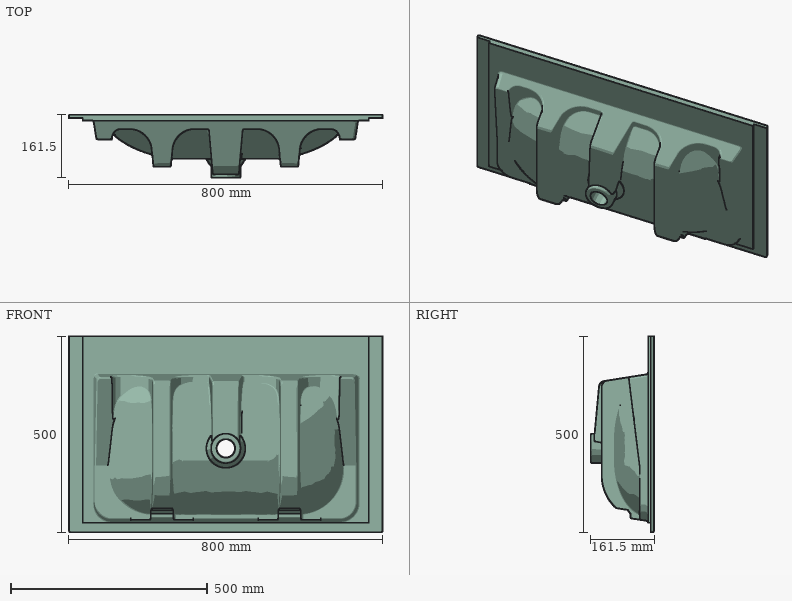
import cadquery as cq
import math


deck_length = 800.0
deck_width = 500.0
deck_thickness = 15.0
lip_thickness = 9.0
lip_side = 35.0
lip_front = 24.0
deck_corner_radius = 5.0
rim_radius = 4.0

skirt_half_length = 337.5
skirt_back = 153.5
skirt_front = -221.5
skirt_front_corner_radius = 48.0
skirt_back_corner_radius = 12.0
skirt_draft = math.radians(9.0)
joint_radius = 5.0
floor_depth = 37.0
edge_radius = 5.0

rail_inner_x = 290.0
rail_depth = 65.5
rail_front = -80.0
rail_round_end = 120.0

leg_x = 162.0
leg_half_width = 22.0
leg_depth = 133.5
bend_start = -105.0
bend_radius = 113.5
toe_depth = 97.0
heel_depth = 67.0
foot_depth = 60.0
foot_back = -203.0
back_end_radius = 17.5

channel_half_width = 33.0
channel_back_depth = 137.5
channel_front_depth = 155.0

support_draft = math.radians(5.0)
rail_side_radius = 23.0
leg_side_radius = 57.5
foot_side_radius = 5.5
channel_side_radius = 5.5

bowl_depth = 114.0
bowl_wall = 12.0
bowl_straight_half = 108.0
bowl_end_reach = 207.0
bowl_end_power = 1.8
bowl_half_width = 173.5
bowl_side_power = 2.2
bowl_corner_radius = 120.0
bowl_root_radius = 4.0
bowl_levels = (0, 0.2, 0.4, 0.6, 0.76, 0.88, 0.96, 0.99)

drain_z = -36.0
drain_depth = 161.5
drain_radius = 37.5
drain_bore_diameter = 46.0
drain_edge_radius = 4.0
cone_radius = 49.5
cone_depth = 132.0

back_edge = deck_width / 2
front_edge = -deck_width / 2
leg_edge_x = leg_x + leg_half_width
select_gap = 1.0


def box_select(half_length, shallow, deep, z_low, z_high):
    """Select what is centred within a half-length of x = 0 and a range of depth and z."""
    return cq.selectors.BoxSelector((-half_length, -deep, z_low), (half_length, -shallow, z_high))


def make_deck():
    lip = (
        cq.Workplane("XZ")
        .rect(deck_length, deck_width)
        .extrude(lip_thickness)
        .edges("|Y and <Z")
        .fillet(deck_corner_radius)
    )
    lip = lip.faces(">Y").edges("not >Z").fillet(rim_radius)
    thick_part = (
        cq.Workplane("XZ")
        .center(0, lip_front / 2)
        .rect(deck_length - 2 * lip_side, deck_width - lip_front)
        .extrude(deck_thickness)
    )
    return lip.union(thick_part)


def skirt_block(depth):
    """Drafted block with the skirt's outline, from the deck's underside down to a depth."""
    straight_x = skirt_half_length - skirt_front_corner_radius
    straight_z = skirt_front + skirt_front_corner_radius
    return (
        cq.Workplane("XZ", origin=(0, -deck_thickness, 0))
        .moveTo(-skirt_half_length, skirt_back)
        .lineTo(skirt_half_length, skirt_back)
        .lineTo(skirt_half_length, straight_z)
        .radiusArc((straight_x, skirt_front), skirt_front_corner_radius)
        .lineTo(-straight_x, skirt_front)
        .radiusArc((-skirt_half_length, straight_z), skirt_front_corner_radius)
        .close()
        .extrude(depth - deck_thickness, taper=math.degrees(skirt_draft))
    )


def round_back_corners(body):
    corners = box_select(skirt_half_length, deck_thickness + select_gap, drain_depth, 0, skirt_back)
    return body.edges(corners).edges("<X or >X").fillet(skirt_back_corner_radius)


def make_floor():
    block = round_back_corners(skirt_block(floor_depth))
    return block.faces("<Y").edges().fillet(edge_radius)


def wedge(half_length, back_depth, front_depth, front_z):
    """Block centred on x = 0 whose underside slopes from the skirt's back to front_z."""
    return (
        cq.Workplane("YZ", origin=(-half_length, 0, 0))
        .moveTo(0, skirt_back)
        .lineTo(-back_depth, skirt_back)
        .lineTo(-front_depth, front_z)
        .lineTo(0, front_z)
        .close()
        .extrude(2 * half_length)
    )


def leg_block(center_x):
    """Side profile of a leg, extruded wide enough to include its flared sides."""
    half_length = leg_half_width + leg_side_radius
    bend_center_depth = leg_depth - bend_radius
    bend_angle = math.acos((toe_depth - bend_center_depth) / bend_radius)
    toe_z = bend_start - bend_radius * math.sin(bend_angle)
    heel_z = toe_z - (toe_depth - heel_depth) * math.tan(skirt_draft)
    bend_middle = (
        -bend_center_depth - bend_radius * math.cos(bend_angle / 2),
        bend_start - bend_radius * math.sin(bend_angle / 2),
    )
    return (
        cq.Workplane("YZ", origin=(center_x - half_length, 0, 0))
        .moveTo(0, skirt_back)
        .lineTo(-leg_depth, skirt_back)
        .lineTo(-leg_depth, bend_start)
        .threePointArc(bend_middle, (-toe_depth, toe_z))
        .lineTo(-heel_depth, heel_z)
        .lineTo(-foot_depth, foot_back)
        .lineTo(-foot_depth, front_edge)
        .lineTo(0, front_edge)
        .close()
        .extrude(2 * half_length)
    )


def scallop_side(wall_x, wall_depth, radius, direction):
    """Points of one side of a scallop, from its open end along the drafted wall and arc to the floor.

    The wall passes through wall_x at wall_depth. The direction is 1 if the wall is on the
    scallop's +X side and -1 if it is on the -X side.
    """
    center_depth = floor_depth + radius
    arc_depth = center_depth - radius * math.sin(support_draft)
    arc_x = wall_x - direction * (wall_depth - arc_depth) * math.tan(support_draft)
    open_x = wall_x + direction * (drain_depth - wall_depth) * math.tan(support_draft)
    center_x = arc_x - direction * radius * math.cos(support_draft)
    middle_angle = (math.pi / 2 + support_draft) / 2
    arc_middle = (
        center_x + direction * radius * math.cos(middle_angle),
        -center_depth + radius * math.sin(middle_angle),
    )
    return (open_x, -drain_depth), (arc_x, -arc_depth), arc_middle, (center_x, -floor_depth)


def scallop(left_side, right_side, z_start, z_end):
    left_open, left_arc, left_middle, left_floor = left_side
    right_open, right_arc, right_middle, right_floor = right_side
    return (
        cq.Workplane("XY", origin=(0, 0, z_start))
        .moveTo(*left_open)
        .lineTo(*left_arc)
        .threePointArc(left_middle, left_floor)
        .lineTo(*right_floor)
        .threePointArc(right_middle, right_arc)
        .lineTo(*right_open)
        .close()
        .extrude(z_end - z_start)
    )


def scallop_cutters(leg_radius, z_start, z_end):
    """The four scallops over a range of z, with a radius where the legs meet the floor."""
    rail_side = scallop_side(-rail_inner_x, rail_depth, rail_side_radius, -1)
    leg_outer_side = scallop_side(-leg_edge_x, leg_depth, leg_radius, 1)
    leg_inner_side = scallop_side(-leg_x + leg_half_width, leg_depth, leg_radius, -1)
    channel_side = scallop_side(-channel_half_width, channel_front_depth, channel_side_radius, 1)
    outer = scallop(rail_side, leg_outer_side, z_start, z_end)
    inner = scallop(leg_inner_side, channel_side, z_start, z_end)
    return [outer, inner, outer.mirror("YZ"), inner.mirror("YZ")]


def make_supports():
    """Rails, legs and channel, joined along the back by the drafted skirt wall."""
    rails = wedge(skirt_half_length, rail_depth, floor_depth, rail_front)
    channel = wedge(2 * channel_half_width, channel_back_depth, channel_front_depth, drain_z)
    supports = rails.union(channel).union(leg_block(-leg_x)).union(leg_block(leg_x))
    supports = supports.intersect(skirt_block(drain_depth))

    back_cutters = scallop_cutters(leg_side_radius, drain_z, back_edge)
    front_cutters = scallop_cutters(foot_side_radius, front_edge, drain_z)
    for cutter in back_cutters + front_cutters:
        supports = supports.cut(cutter)
    return supports


def round_supports(supports):
    back_ends = box_select(leg_edge_x, toe_depth, drain_depth, 0, skirt_back)
    supports = supports.edges(back_ends).edges("|X").fillet(back_end_radius)
    supports = round_back_corners(supports)

    wall_edges = box_select(skirt_half_length, deck_thickness + select_gap, drain_depth, 0, skirt_back)
    rail_edges = box_select(skirt_half_length, floor_depth, rail_depth, 0, rail_round_end)
    wall_rim = supports.faces(">Z").edges(wall_edges)
    rail_outer_edges = supports.edges(rail_edges).edges("<X or >X")
    supports = wall_rim.add(rail_outer_edges).fillet(edge_radius)

    foot_edges = box_select(
        leg_edge_x, foot_depth - select_gap, foot_depth + select_gap, front_edge, foot_back
    )
    return supports.edges(foot_edges).edges("<Z").fillet(edge_radius)


def bowl_form(wall):
    """The bowl's outer form, made smaller all round by a wall thickness."""
    sections = []
    for level in bowl_levels:
        end = bowl_end_reach * (1 - level**bowl_end_power) ** (1 / bowl_end_power)
        side = bowl_half_width * (1 - level**bowl_side_power) ** (1 / bowl_side_power)
        half_length = bowl_straight_half + end - wall
        half_width = side - wall
        corner = bowl_corner_radius * half_width / bowl_half_width
        section = cq.Sketch().rect(2 * half_length, 2 * half_width).vertices().fillet(corner)
        depth = level * (bowl_depth - wall)
        sections.append(section.moved(cq.Location(cq.Vector(0, 0, depth))))
    return cq.Workplane("XZ", origin=(0, 0, drain_z)).placeSketch(*sections).loft()


def round_joints(body):
    """Round the joint of the skirt with the deck and the root of the bowl."""
    skirt_joint = box_select(
        skirt_half_length + select_gap,
        deck_thickness - select_gap,
        deck_thickness + select_gap,
        skirt_front - select_gap,
        skirt_back + select_gap,
    )
    body = body.edges(skirt_joint).fillet(joint_radius)
    bowl_root = box_select(
        rail_inner_x,
        floor_depth - select_gap,
        floor_depth + select_gap,
        foot_back,
        bend_start,
    )
    return body.edges(bowl_root).edges("%BSPLINE").fillet(bowl_root_radius)


def make_drain():
    pipe = cq.Workplane("XZ", origin=(0, 0, drain_z)).circle(drain_radius).extrude(drain_depth)
    pipe = pipe.faces("<Y").edges().fillet(drain_edge_radius)
    cone = (
        cq.Workplane("XY", origin=(0, 0, drain_z))
        .moveTo(0, bowl_wall - bowl_depth)
        .lineTo(cone_radius, bowl_wall - bowl_depth)
        .lineTo(cone_radius, -bowl_depth)
        .lineTo(drain_radius, -cone_depth)
        .lineTo(0, -cone_depth)
        .close()
        .revolve(360, (0, 0), (0, 1))
    )
    return pipe.union(cone)


def make_drain_bore():
    bore_radius = drain_bore_diameter / 2
    return cq.Workplane("XZ", origin=(0, 0, drain_z)).circle(bore_radius).extrude(drain_depth)


supports = round_supports(make_supports())
underside = make_deck().union(make_floor()).union(supports).union(bowl_form(0))
basin = round_joints(underside).union(make_drain())
result = basin.cut(bowl_form(bowl_wall)).cut(make_drain_bore()).solids()